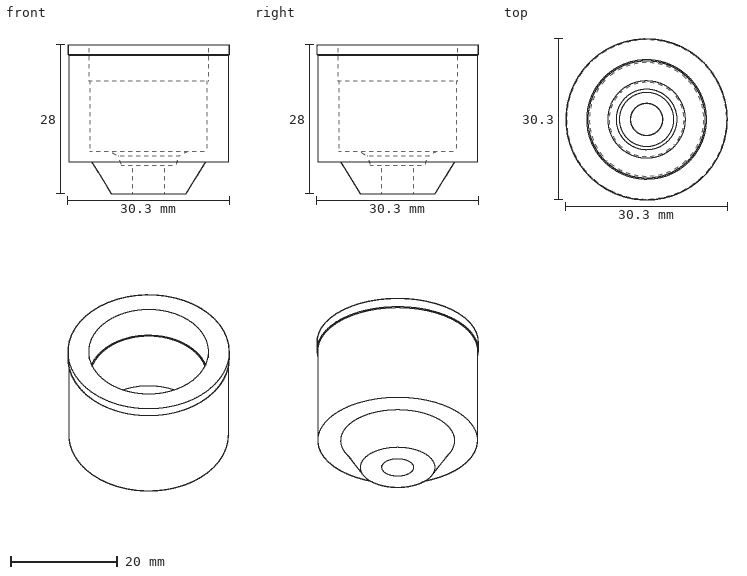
import cadquery as cq


TOTAL_HEIGHT = 28.0
RIM_RADIUS = 15.15
RIM_HEIGHT = 1.85
RIM_CHAMFER = 0.15
NOZZLE_HEIGHT = 6.0
NOZZLE_TOP_RADIUS = 10.7
NOZZLE_TIP_RADIUS = 7.0

MOUTH_RADIUS = 11.25
MOUTH_DEPTH = 6.82
CAVITY_RADIUS = 11.0
CAVITY_DEPTH = 20.0
FUNNEL_TOP_RADIUS = 7.27
FUNNEL_BOTTOM_RADIUS = 5.7
FUNNEL_DEPTH = 0.9
POCKET_FLOOR_RADIUS = 5.1
POCKET_DEPTH = 1.73
OUTLET_RADIUS = 3.0

body_radius = RIM_RADIUS - RIM_CHAMFER
rim_bottom_z = TOTAL_HEIGHT - RIM_HEIGHT
ledge_z = TOTAL_HEIGHT - MOUTH_DEPTH
cavity_floor_z = TOTAL_HEIGHT - CAVITY_DEPTH
funnel_bottom_z = cavity_floor_z - FUNNEL_DEPTH
pocket_floor_z = funnel_bottom_z - POCKET_DEPTH

outer_wall = [
    (NOZZLE_TIP_RADIUS, 0),
    (NOZZLE_TOP_RADIUS, NOZZLE_HEIGHT),
    (body_radius, NOZZLE_HEIGHT),
    (body_radius, rim_bottom_z - RIM_CHAMFER),
    (RIM_RADIUS, rim_bottom_z),
    (RIM_RADIUS, TOTAL_HEIGHT),
]

inner_wall = [
    (MOUTH_RADIUS, TOTAL_HEIGHT),
    (MOUTH_RADIUS, ledge_z),
    (CAVITY_RADIUS, ledge_z),
    (CAVITY_RADIUS, cavity_floor_z),
    (FUNNEL_TOP_RADIUS, cavity_floor_z),
    (FUNNEL_BOTTOM_RADIUS, funnel_bottom_z),
    (POCKET_FLOOR_RADIUS, pocket_floor_z),
    (OUTLET_RADIUS, pocket_floor_z),
    (OUTLET_RADIUS, 0),
]

half_section = cq.Workplane("XZ").polyline(outer_wall + inner_wall).close()
result = half_section.revolve(360, (0, 0, 0), (0, 1, 0))